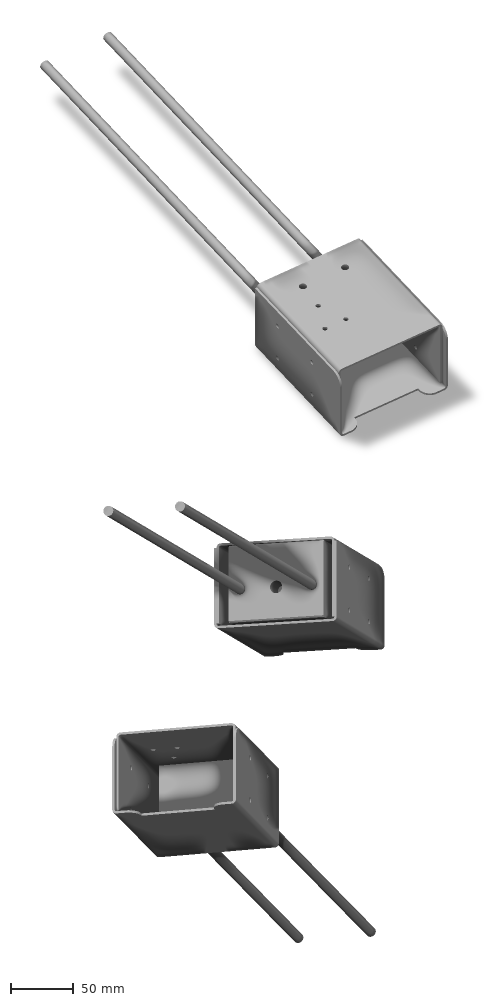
import cadquery as cq

total_length = 461.0
box_width = 102.5
box_height = 68.5
base_length = 123.5
cover_length = 118.5

sheet = 1.95
bend_radius = 3.45
corner_radius = 10.0
rear_tab_width = 20.7
rear_notch_depth = 11.5
cover_floor_gap = 2.0

block_setback = 2.0
block_width = 79.5
block_depth = 27.5
block_floor_gap = 2.55
block_chamfer = 1.15
block_bore_diameter = 10.0
block_bore_depth = 20.0

rod_diameter = 8.5
rod_spacing = 60.0
rod_height = 31.0

side_hole_diameter = 4.0
side_hole_start = 32.7
side_hole_pitch_x = 50.0
side_hole_low = 14.8
side_hole_pitch_z = 35.0
large_hole_diameter = 6.5
large_hole_depth = 12.0
large_hole_x = 22.0
large_hole_pitch = 40.0
small_hole_diameter = 4.0
small_hole_y = -22.0
small_hole_x = 47.5
small_hole_step = 25.0
small_hole_pitch = 20.0

base_height = box_height - bend_radius
cover_width = box_width - 2 * sheet
cover_bottom = sheet + cover_floor_gap
block_bottom = sheet + block_floor_gap
block_top = box_height - sheet
inner_bend_radius = bend_radius - sheet


def slab(x_start, length, width, z_low, z_high):
    """Box centred on Y = 0, running along +X from x_start."""
    height = z_high - z_low
    return (
        cq.Workplane("XY")
        .box(length, width, height, centered=(False, True, False))
        .translate((x_start, 0, z_low))
    )


def upright_holes(points, diameter, z_low):
    """Cutters along Z from z_low up through the top of the cover."""
    depth = box_height - z_low
    hole_bottoms = cq.Workplane("XY", origin=(0, 0, z_low)).pushPoints(points)
    return hole_bottoms.circle(diameter / 2).extrude(depth)


def make_base():
    """Channel with rounded lower bends, rounded wall corners and two rear floor tabs."""
    outside = slab(0, base_length, box_width, 0, base_height).edges("|X and <Z").fillet(bend_radius)
    inside = slab(0, base_length, box_width - 2 * sheet, sheet, base_height)
    inside = inside.edges("|X and <Z").fillet(inner_bend_radius)
    base = outside.cut(inside)
    base = base.edges("|Y and >X and >Z").fillet(corner_radius)
    notch_width = box_width - 2 * rear_tab_width
    notch = slab(base_length - rear_notch_depth, rear_notch_depth, notch_width, 0, sheet)
    base = base.cut(notch)
    tab_corners = cq.selectors.BoxSelector(
        (base_length - sheet, -notch_width / 2 - sheet, -sheet),
        (base_length + sheet, notch_width / 2 + sheet, 2 * sheet),
    )
    return base.edges("|Z").edges(tab_corners).fillet(corner_radius)


def make_cover():
    """Inverted channel that fits between the base walls."""
    outside = slab(0, cover_length, cover_width, cover_bottom, box_height)
    outside = outside.edges("|X and >Z").fillet(bend_radius)
    inside = slab(0, cover_length, cover_width - 2 * sheet, cover_bottom, block_top)
    inside = inside.edges("|X and >Z").fillet(inner_bend_radius)
    return outside.cut(inside)


def make_block():
    """Rod holder under the cover with a blind central bore."""
    block = slab(block_setback, block_depth, block_width, block_bottom, block_top)
    block = block.faces("<X").edges("|Y").chamfer(block_chamfer)
    block_front = cq.Workplane("YZ", origin=(block_setback, 0, rod_height))
    bore = block_front.circle(block_bore_diameter / 2).extrude(block_bore_depth)
    return block.cut(bore)


def make_rods():
    """Pair of plain rods running forward from the block."""
    rod_length = total_length - base_length + block_setback
    rod_centres = [(side * rod_spacing / 2, rod_height) for side in (-1, 1)]
    rods_start = cq.Workplane("YZ", origin=(block_setback, 0, 0))
    return rods_start.pushPoints(rod_centres).circle(rod_diameter / 2).extrude(-rod_length)


result = make_base().union(make_cover()).union(make_block()).union(make_rods())

side_hole_points = [
    (side_hole_start + column * side_hole_pitch_x, side_hole_low + row * side_hole_pitch_z)
    for column in (0, 1)
    for row in (0, 1)
]
side_holes = cq.Workplane("XZ").pushPoints(side_hole_points).circle(side_hole_diameter / 2)
result = result.cut(side_holes.extrude(box_width / 2, both=True))

large_holes = [(large_hole_x, side * large_hole_pitch / 2) for side in (-1, 1)]
result = result.cut(upright_holes(large_holes, large_hole_diameter, box_height - large_hole_depth))
small_holes = [(small_hole_x, small_hole_y)]
for side in (-1, 1):
    small_holes.append((small_hole_x + small_hole_step, small_hole_y + side * small_hole_pitch / 2))
result = result.cut(upright_holes(small_holes, small_hole_diameter, block_top))